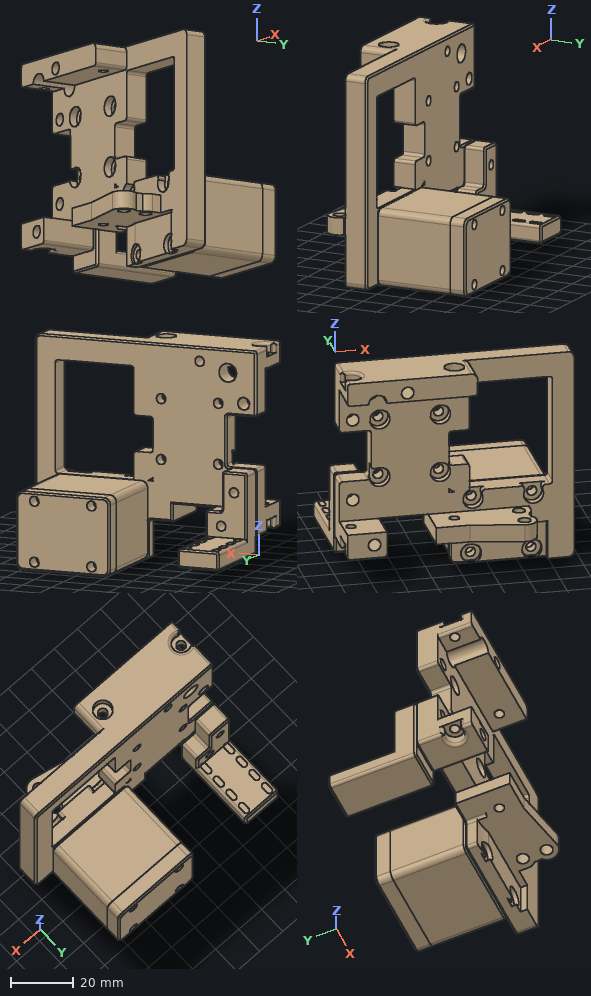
import cadquery as cq
import math


EDGE_RADIUS = 1.0
CORNER_RADIUS = 2.0
EDGE_BREAK = 0.6
SCREW_DIAMETER = 3.2
INSERT_DIAMETER = 4.0
HEAD_DIAMETER = 6.5
RELIEF_HALF_WIDTH = 3.0
SCREW_PITCH = 19.9

PLATE_LENGTH = 77.25
PLATE_HEIGHT = 71.0
PLATE_THICKNESS = 7.7
FLANGE_FRONT = 19.7
FLANGE_RIGHT = 42.8
FLANGE_BOTTOM = 63.35
LUG_RIGHT = 13.05
LUG_BOTTOM = 10.1
LOWER_EDGE = 18.8
NOTCH_DEPTH = 10.4
NOTCH_BOTTOM = 32.45
NOTCH_TOP = 49.45
WINDOW_RIGHT = 70.1
WINDOW_BOTTOM = 25.8
WINDOW_TOP = 62.95
WINDOW_STEP_LEFT = 36.1
WINDOW_STEP_BOTTOM = 35.1
WINDOW_STEP_TOP = 46.8
GAP_WIDTH = 1.6
GAP_HEIGHT = 1.1
HEAD_RECESS = 2.8

POCKET_RIGHT = 68.5
POCKET_DEPTH = 2.4
RAMP_END = 44.0
RAMP_DEPTH = 3.5
POCKET_HEAD_RECESS = 4.0

VERTICAL_SCREW_Y = -12.6
LEFT_SCREW_X = 2.7
RIGHT_SCREW_X = 36.7
FLANGE_HEAD_RECESS = 3.3
LUG_HEAD_RECESS = 4.0

ARM_LEFT = 29.2
ARM_BOTTOM = 13.0
ARM_BEND_X = 40.2
ARM_WAIST_X = 61.1
ARM_END_X = 58.3
ARM_END_YS = (-10.9, -19.3)
ARM_END_RADIUS = 4.0

RAIL_SCREWS_LEFT = 13.3
RAIL_SCREWS_BOTTOM = 33.1
CABLE_HOLE = (10.0, 63.3)
CABLE_HOLE_DIAMETER = 6.0
UPPER_INSERT = (4.4, 53.5)
FLANGE_INSERT = (19.8, 66.3)
BRACKET_SCREWS = ((4.4, 25.9), (8.9, 14.6))

BOX_LEFT = 37.6
BOX_WIDTH = 32.6
BOX_HEIGHT = 25.8
BOX_RADIUS = 2.25
BOX_LENGTH = 32.0
CAP_LENGTH = 5.6

BRACKET_WIDTH = 14.4
BRACKET_LENGTH = 31.05
BRACKET_WALL = 7.95
BRACKET_BOTTOM = 4.7
SHELF_TOP = 10.9
WALL_STEP_X = 8.65
WALL_STEP_TOP = 19.4
TIE_WIDTH = 2.0
TIE_LENGTH = 4.2
TIE_PITCH = 6.0
TIE_DEPTH = 0.1
TIE_SPACING = 10.0
FIRST_TIE_FROM_END = 3.2
TIE_COUNT = 4

BOX_SCREWS_LEFT = BOX_LEFT + (BOX_WIDTH - SCREW_PITCH) / 2
BOX_SCREWS_BOTTOM = (BOX_HEIGHT - SCREW_PITCH) / 2
BOX_SCREWS_TOP = BOX_SCREWS_BOTTOM + SCREW_PITCH


def rounded_outline(corners):
    """Closed XZ outline through (x, z, radius) corners, each rounded by its radius."""
    outline = cq.Workplane("XZ")
    for index, (x, z, radius) in enumerate(corners):
        before = cq.Vector(*corners[index - 1][:2])
        after = cq.Vector(*corners[(index + 1) % len(corners)][:2])
        corner = cq.Vector(x, z)
        to_before = (before - corner).normalized()
        to_after = (after - corner).normalized()
        half_angle = to_before.getAngle(to_after) / 2
        setback = radius / math.tan(half_angle)
        start = corner + to_before * setback
        end = corner + to_after * setback
        bisector = (to_before + to_after).normalized()
        middle = corner + bisector * (radius / math.sin(half_angle) - radius)
        outline = outline.lineTo(start.x, start.y) if index else outline.moveTo(start.x, start.y)
        if radius:
            outline = outline.threePointArc((middle.x, middle.y), (end.x, end.y))
    return outline.close()


def slab(corners, front, rear):
    """Rounded outline filled from Y = front to Y = rear."""
    return rounded_outline(corners).extrude(rear - front).translate((0, rear, 0))


def holes_along_y(places, diameter, front, rear):
    """Cylinders along Y at the (x, z) places."""
    holes = cq.Workplane("XZ").pushPoints(places).circle(diameter / 2)
    return holes.extrude(rear - front).translate((0, rear, 0))


def break_outer_edge(body, end):
    """Chamfer the outer outline of one end face, leaving its openings sharp."""
    outline = body.faces(end).val().outerWire().Edges()
    return body.newObject(outline).chamfer(EDGE_BREAK)


def square_pattern(left, bottom):
    """Four (x, z) places at the screw pitch."""
    return [(x, z) for x in (left, left + SCREW_PITCH) for z in (bottom, bottom + SCREW_PITCH)]


def relief(workplane, reach, depth, sides=(-1, 1)):
    """Cut from a counterbore centre along local +X to an edge at `reach`, flaring out there."""
    cutter = None
    flare_start = reach - EDGE_RADIUS
    flare_edge = RELIEF_HALF_WIDTH + EDGE_RADIUS
    sag = EDGE_RADIUS * math.sqrt(0.5)
    for side in sides:
        half = (
            workplane.moveTo(0, 0)
            .lineTo(0, side * RELIEF_HALF_WIDTH)
            .lineTo(flare_start, side * RELIEF_HALF_WIDTH)
            .threePointArc(
                (flare_start + sag, side * (flare_edge - sag)),
                (reach, side * flare_edge),
            )
            .lineTo(reach, 0)
            .close()
            .extrude(depth)
        )
        cutter = half if cutter is None else cutter.union(half)
    return cutter


def plate_blank():
    """Plate with its window, top flange and lower left lug."""
    r = EDGE_RADIUS
    outline = [
        (0, PLATE_HEIGHT, r),
        (PLATE_LENGTH, PLATE_HEIGHT, CORNER_RADIUS),
        (PLATE_LENGTH, 0, CORNER_RADIUS),
        (BOX_LEFT, 0, r),
        (BOX_LEFT, ARM_BOTTOM, r),
        (ARM_LEFT, ARM_BOTTOM, 0),
        (ARM_LEFT, LOWER_EDGE, 0),
        (LUG_RIGHT, LOWER_EDGE, 0),
        (LUG_RIGHT, LUG_BOTTOM, r),
        (0, LUG_BOTTOM, r),
        (0, NOTCH_BOTTOM, r),
        (NOTCH_DEPTH, NOTCH_BOTTOM, r),
        (NOTCH_DEPTH, NOTCH_TOP, r),
        (0, NOTCH_TOP, r),
    ]
    window = [
        (FLANGE_RIGHT, WINDOW_TOP, r),
        (WINDOW_RIGHT, WINDOW_TOP, r),
        (WINDOW_RIGHT, WINDOW_BOTTOM, r),
        (FLANGE_RIGHT, WINDOW_BOTTOM, 0),
        (FLANGE_RIGHT, WINDOW_STEP_BOTTOM, r),
        (WINDOW_STEP_LEFT, WINDOW_STEP_BOTTOM, r),
        (WINDOW_STEP_LEFT, WINDOW_STEP_TOP, r),
        (FLANGE_RIGHT, WINDOW_STEP_TOP, r),
    ]
    gap = [
        (WINDOW_STEP_LEFT, WINDOW_BOTTOM, 0),
        (WINDOW_STEP_LEFT, WINDOW_BOTTOM + GAP_HEIGHT, 0),
        (WINDOW_STEP_LEFT + GAP_WIDTH, WINDOW_BOTTOM, 0),
    ]
    flange = [
        (0, PLATE_HEIGHT, r),
        (FLANGE_RIGHT, PLATE_HEIGHT, CORNER_RADIUS),
        (FLANGE_RIGHT, FLANGE_BOTTOM, r),
        (0, FLANGE_BOTTOM, r),
    ]
    lug = [
        (0, LOWER_EDGE, 0),
        (LUG_RIGHT, LOWER_EDGE, 0),
        (LUG_RIGHT, LUG_BOTTOM, r),
        (0, LUG_BOTTOM, r),
    ]
    plate = slab(outline, -PLATE_THICKNESS, 0)
    for opening in (window, gap):
        plate = plate.cut(slab(opening, -PLATE_THICKNESS, 0))
    for block in (flange, lug):
        plate = plate.union(slab(block, -FLANGE_FRONT, -PLATE_THICKNESS))
    return plate.clean()


def open_counterbore(depth):
    """Cutter for a head recess with a rounded rim, open to the left side; its floor is at Z = 0."""
    bore_radius = HEAD_DIAMETER / 2
    rim_radius = bore_radius + EDGE_RADIUS
    sag = EDGE_RADIUS * math.sqrt(0.5)
    bore = (
        cq.Workplane("XZ")
        .lineTo(bore_radius, 0)
        .lineTo(bore_radius, depth - EDGE_RADIUS)
        .threePointArc((rim_radius - sag, depth - EDGE_RADIUS + sag), (rim_radius, depth))
        .lineTo(0, depth)
        .close()
        .revolve(360, (0, 0), (0, 1))
    )
    side_cut = relief(cq.Workplane("XY"), LEFT_SCREW_X, depth).rotate((0, 0, 0), (0, 0, 1), 180)
    return bore.union(side_cut)


def cut_open_counterbores(plate):
    """Recesses at the left screws, from above in the flange and from below in the lug."""
    flange_recess = open_counterbore(FLANGE_HEAD_RECESS)
    lug_recess = open_counterbore(LUG_HEAD_RECESS).mirror("XY")
    flange_floor = PLATE_HEIGHT - FLANGE_HEAD_RECESS
    lug_floor = LUG_BOTTOM + LUG_HEAD_RECESS
    plate = plate.cut(flange_recess.translate((LEFT_SCREW_X, VERTICAL_SCREW_Y, flange_floor)))
    return plate.cut(lug_recess.translate((LEFT_SCREW_X, VERTICAL_SCREW_Y, lug_floor)))


def cut_pocket(plate):
    """Pocket in the front face with a curved floor at its left end."""
    ramp_length = RAMP_END - BOX_LEFT
    rise = RAMP_DEPTH - POCKET_DEPTH
    ramp_radius = (ramp_length**2 + rise**2) / (2 * rise)
    half_way = ramp_length / 2
    half_way_rise = ramp_radius - math.sqrt(ramp_radius**2 - half_way**2)
    pocket = (
        cq.Workplane("XY")
        .moveTo(BOX_LEFT, -PLATE_THICKNESS)
        .lineTo(BOX_LEFT, RAMP_DEPTH - PLATE_THICKNESS)
        .threePointArc(
            (BOX_LEFT + half_way, RAMP_DEPTH - half_way_rise - PLATE_THICKNESS),
            (RAMP_END, POCKET_DEPTH - PLATE_THICKNESS),
        )
        .lineTo(POCKET_RIGHT, POCKET_DEPTH - PLATE_THICKNESS)
        .lineTo(POCKET_RIGHT, -PLATE_THICKNESS)
        .close()
        .extrude(ARM_BOTTOM)
    )
    return plate.cut(pocket)


def arm():
    """Flat arm under the plate with two rounded ends for studs."""
    upper_y, lower_y = ARM_END_YS
    thickness = LOWER_EDGE - ARM_BOTTOM
    run = ARM_END_X - ARM_BEND_X
    drop = -FLANGE_FRONT - lower_y
    direction = math.atan2(-drop, run) - math.asin(ARM_END_RADIUS / math.hypot(run, drop))
    touch = (
        ARM_END_X + ARM_END_RADIUS * math.sin(direction),
        lower_y - ARM_END_RADIUS * math.cos(direction),
    )
    body = (
        cq.Workplane("XY")
        .moveTo(ARM_LEFT, -PLATE_THICKNESS)
        .lineTo(ARM_LEFT, -FLANGE_FRONT)
        .lineTo(ARM_BEND_X, -FLANGE_FRONT)
        .lineTo(*touch)
        .lineTo(ARM_END_X, lower_y)
        .lineTo(ARM_WAIST_X, lower_y)
        .lineTo(ARM_WAIST_X, -PLATE_THICKNESS)
        .close()
        .extrude(thickness)
    )
    ends = cq.Workplane("XY").pushPoints([(ARM_END_X, y) for y in ARM_END_YS])
    body = body.union(ends.circle(ARM_END_RADIUS).extrude(thickness))
    root_depth = -PLATE_THICKNESS - upper_y
    root = cq.Workplane("XY").box(ARM_END_RADIUS, root_depth, thickness, centered=False)
    body = body.union(root.translate((ARM_END_X, upper_y, 0)))
    body = body.cut(ends.circle(INSERT_DIAMETER / 2).extrude(thickness))
    return body.translate((0, 0, ARM_BOTTOM))


def cut_front_counterbores(plate):
    """Counterbores for both screw patterns, opened to the notch or window where they are close."""
    seat = HEAD_RECESS - PLATE_THICKNESS
    rail_screws = square_pattern(RAIL_SCREWS_LEFT, RAIL_SCREWS_BOTTOM)
    box_screws = square_pattern(BOX_SCREWS_LEFT, BOX_SCREWS_BOTTOM)
    upper_box_screws = [place for place in box_screws if place[1] == BOX_SCREWS_TOP]
    lower_box_screws = [place for place in box_screws if place[1] == BOX_SCREWS_BOTTOM]
    plate = plate.cut(
        holes_along_y(rail_screws + upper_box_screws, HEAD_DIAMETER, -PLATE_THICKNESS, seat)
    )
    pocket_seat = POCKET_HEAD_RECESS - PLATE_THICKNESS
    plate = plate.cut(holes_along_y(lower_box_screws, HEAD_DIAMETER, -PLATE_THICKNESS, pocket_seat))
    plate = plate.cut(holes_along_y(rail_screws + box_screws, SCREW_DIAMETER, -PLATE_THICKNESS, 0))

    window_reach = WINDOW_BOTTOM - BOX_SCREWS_TOP
    reliefs = (
        (rail_screws[0], 180, RAIL_SCREWS_LEFT - NOTCH_DEPTH, (-1,)),
        (upper_box_screws[0], -90, window_reach, (-1,)),
        (upper_box_screws[1], -90, window_reach, (-1, 1)),
    )
    for (x, z), turn, reach, sides in reliefs:
        cutter = relief(cq.Workplane("XZ"), reach, HEAD_RECESS, sides)
        cutter = cutter.rotate((0, 0, 0), (0, 1, 0), turn)
        plate = plate.cut(cutter.translate((x, seat, z)))
    return plate


def drill_plate(plate):
    """Insert, cable and vertical screw holes."""
    inserts_through = [UPPER_INSERT, *BRACKET_SCREWS]
    plate = plate.cut(holes_along_y(inserts_through, INSERT_DIAMETER, -FLANGE_FRONT, 0))
    plate = plate.cut(holes_along_y([CABLE_HOLE], CABLE_HOLE_DIAMETER, -FLANGE_FRONT, 0))
    plate = plate.cut(
        holes_along_y([FLANGE_INSERT], INSERT_DIAMETER, -FLANGE_FRONT, -PLATE_THICKNESS)
    )
    plate = plate.cut(holes_along_y([FLANGE_INSERT], SCREW_DIAMETER, -PLATE_THICKNESS, 0))
    screw_places = [(x, VERTICAL_SCREW_Y) for x in (LEFT_SCREW_X, RIGHT_SCREW_X)]
    screws = cq.Workplane("XY").pushPoints(screw_places).circle(SCREW_DIAMETER / 2)
    head = cq.Workplane("XY").circle(HEAD_DIAMETER / 2).extrude(FLANGE_HEAD_RECESS)
    head_floor = PLATE_HEIGHT - FLANGE_HEAD_RECESS
    plate = plate.cut(screws.extrude(PLATE_HEIGHT))
    return plate.cut(head.translate((RIGHT_SCREW_X, VERTICAL_SCREW_Y, head_floor)))


def carriage_plate():
    """Plate with its flange, lug and arm, all in one piece."""
    plate = break_outer_edge(plate_blank(), ">Y")
    plate = cut_pocket(cut_open_counterbores(plate)).union(arm())
    return drill_plate(cut_front_counterbores(plate))


def box_section(front, rear):
    """Stretch of the rounded box from Y = front to Y = rear, drilled for its four screws."""
    right = BOX_LEFT + BOX_WIDTH
    corners = [(BOX_LEFT, 0), (right, 0), (right, BOX_HEIGHT), (BOX_LEFT, BOX_HEIGHT)]
    section = slab([(x, z, BOX_RADIUS) for x, z in corners], front, rear)
    screws = square_pattern(BOX_SCREWS_LEFT, BOX_SCREWS_BOTTOM)
    return section.cut(holes_along_y(screws, SCREW_DIAMETER, front, rear))


def box():
    """Box behind the plate, up to its cap."""
    section = box_section(0, BOX_LENGTH - CAP_LENGTH)
    return break_outer_edge(section, "<Y")


def box_cap():
    """Cap closing the rear end of the box."""
    section = box_section(BOX_LENGTH - CAP_LENGTH, BOX_LENGTH)
    return break_outer_edge(section, ">Y")


def cable_bracket():
    """Wall screwed to the plate with a shelf to tie cables to."""
    r = EDGE_RADIUS
    wall_outline = [
        (0, BRACKET_BOTTOM, r),
        (BRACKET_WIDTH, BRACKET_BOTTOM, r),
        (BRACKET_WIDTH, WALL_STEP_TOP, r),
        (WALL_STEP_X, WALL_STEP_TOP, r),
        (WALL_STEP_X, NOTCH_BOTTOM, r),
        (0, NOTCH_BOTTOM, r),
    ]
    shelf_outline = [
        (0, BRACKET_BOTTOM, r),
        (BRACKET_WIDTH, BRACKET_BOTTOM, r),
        (BRACKET_WIDTH, SHELF_TOP, r),
        (0, SHELF_TOP, r),
    ]
    wall = slab(wall_outline, 0, BRACKET_WALL).faces("<Y or >Y").chamfer(EDGE_BREAK)
    shelf = slab(shelf_outline, 0, BRACKET_LENGTH).faces("<Y or >Y").chamfer(EDGE_BREAK)
    bracket = wall.union(shelf)
    bracket = bracket.cut(holes_along_y(BRACKET_SCREWS, SCREW_DIAMETER, 0, BRACKET_WALL))
    first_tie_y = BRACKET_LENGTH - FIRST_TIE_FROM_END
    tie_places = [
        (BRACKET_WIDTH / 2 + side * TIE_SPACING / 2, first_tie_y - row * TIE_PITCH)
        for side in (-1, 1)
        for row in range(TIE_COUNT)
    ]
    tie_marks = (
        cq.Workplane("XY", origin=(0, 0, SHELF_TOP - TIE_DEPTH))
        .pushPoints(tie_places)
        .slot2D(TIE_LENGTH, TIE_WIDTH, 90)
        .extrude(TIE_DEPTH)
    )
    return bracket.cut(tie_marks)


result = cq.Compound.makeCompound(
    [carriage_plate().val(), cable_bracket().val(), box().val(), box_cap().val()]
)